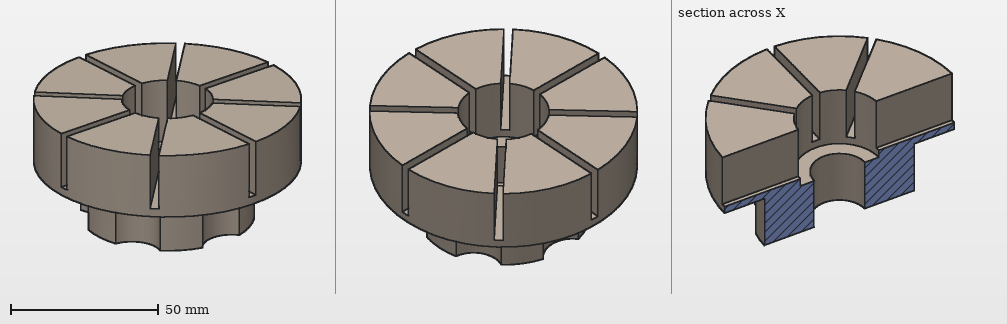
import cadquery as cq

disc_diameter = 91.0
disc_height = 23.0
slot_width = 3.0
slot_depth = 20.0
slot_count = 8

hub_diameter = 59.4
hub_height = 20.0
scallop_count = 6
scallop_radius = 10.0
scallop_center_radius = 34.5

bore_diameter = 20.0
counterbore_diameter = 31.0
counterbore_depth = disc_height

total_height = hub_height + disc_height


def make_hub():
    """Round hub with concave grip scallops spaced evenly around its rim."""
    hub = cq.Workplane("XY").circle(hub_diameter / 2).extrude(hub_height)
    scallops = (
        cq.Workplane("XY")
        .polarArray(scallop_center_radius, 0, 360, scallop_count)
        .circle(scallop_radius)
        .extrude(hub_height)
    )
    return hub.cut(scallops)


def make_disc():
    """Plain disc resting on top of the hub."""
    return (
        cq.Workplane("XY")
        .workplane(offset=hub_height)
        .circle(disc_diameter / 2)
        .extrude(disc_height)
    )


def cut_bore(body):
    """Through bore with a wider counterbore from the top face."""
    bore = cq.Workplane("XY").circle(bore_diameter / 2).extrude(total_height)
    counterbore = (
        cq.Workplane("XY")
        .workplane(offset=total_height - counterbore_depth)
        .circle(counterbore_diameter / 2)
        .extrude(counterbore_depth)
    )
    return body.cut(bore).cut(counterbore)


def cut_slots(body):
    """Radial slots in the top face; each cutter spans the disc and makes two slots."""
    cutter = (
        cq.Workplane("XY")
        .workplane(offset=total_height - slot_depth)
        .rect(disc_diameter + slot_width, slot_width)
        .extrude(slot_depth)
    )
    slot_pitch = 360 / slot_count
    for index in range(slot_count // 2):
        body = body.cut(cutter.rotate((0, 0, 0), (0, 0, 1), index * slot_pitch))
    return body


result = cut_slots(cut_bore(make_hub().union(make_disc())))